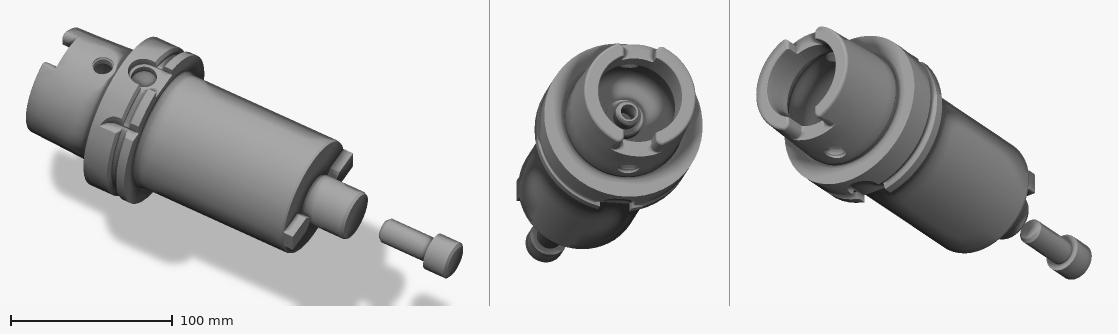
import cadquery as cq
import math


cone_length = 50.0
cone_end_x = -2.5
cone_large_diameter = 75.2
cone_taper = 0.1
cone_rim_fillet = 1.7
undercut_depth = 0.5
undercut_ramp = 1.0
relief_diameter = 79.2
relief_depth = 1.0
bore_diameter = 53.0
bore_mouth_diameter = 53.8
bore_lip_length = 21.2
cavity_diameter = 63.0
cavity_flank_angle = 30
cavity_floor_x = 1.1
cavity_floor_fillet = 6.5
clamp_hole_diameter = 12.0
clamp_hole_mouth_diameter = 13.5
clamp_hole_mouth_radius = 35.8
clamp_hole_x = -14.5

slot_width = 20.0
slot_corner_fillet = 1.1
slot_lip_radius = 4.0
upper_slot_depth = 9.7
lower_slot_depth = 14.5

nut_diameter = 24.0
nut_height = 5.7
nut_chamfer = 1.0
tube_diameter = 15.2
tube_tip_diameter = 12.0
tube_tip_length = 2.5
tube_tip_x = -15.5
tube_bore_diameter = 10.0

flange_diameter = 100.0
flange_width = 29.0
groove_diameter = 91.8
groove_x = 20.0
groove_mouth_width = 7.0
groove_floor_width = 4.0
groove_wall_depth = 2.5

pocket_width = 20.0
pocket_x = 14.5
pocket_floor = 44.0
data_hole_diameter = 16.0
data_hole_depth = 4.5
notch_corner = 31.7

body_diameter = 76.0
body_root_diameter = 78.5
body_root_length = 3.1
body_end_x = 135.3
body_end_chamfer = 1.5
body_face_diameter = 75.2
spigot_diameter = 31.7
spigot_end_x = 165.3
spigot_chamfer = 2.0
spigot_end_diameter = 30.0
spigot_neck_diameter = 30.3
spigot_neck_length = 1.1
spigot_neck_ramp = 1.0

dog_width = 13.2
dog_end_x = 141.9
dog_outer = 37.5
dog_inner = 16.3
dog_chamfer = 4.3

screw_diameter = 16.0
screw_tip_diameter = 12.0
screw_tip_length = 2.3
screw_tip_x = 185.0
shank_length = 35.0
head_diameter = 24.0
head_length = 16.0
head_end_diameter = 19.7
head_chamfer_length = 1.5


def revolve(points):
    return cq.Workplane("XY").polyline(points).close().revolve(360, (0, 0, 0), (1, 0, 0))


def cone_radius(x):
    return (cone_large_diameter + cone_taper * (x - cone_end_x)) / 2


def make_blank():
    half_mouth = groove_mouth_width / 2
    half_floor = groove_floor_width / 2
    undercut_radius = cone_large_diameter / 2 - undercut_depth
    neck_end_x = body_end_x + spigot_neck_length
    groove_wall_radius = flange_diameter / 2 - groove_wall_depth
    return revolve([
        (-cone_length, 0),
        (-cone_length, cone_radius(-cone_length)),
        (cone_end_x, cone_radius(cone_end_x)),
        (cone_end_x + undercut_ramp, undercut_radius),
        (relief_depth, undercut_radius),
        (0, relief_diameter / 2),
        (0, flange_diameter / 2),
        (groove_x - half_mouth, flange_diameter / 2),
        (groove_x - half_floor, groove_wall_radius),
        (groove_x - half_floor, groove_diameter / 2),
        (groove_x + half_floor, groove_diameter / 2),
        (groove_x + half_floor, groove_wall_radius),
        (groove_x + half_mouth, flange_diameter / 2),
        (flange_width, flange_diameter / 2),
        (flange_width, body_root_diameter / 2),
        (flange_width + body_root_length, body_diameter / 2),
        (body_end_x - body_end_chamfer, body_diameter / 2),
        (body_end_x, body_face_diameter / 2),
        (body_end_x, spigot_neck_diameter / 2),
        (neck_end_x, spigot_neck_diameter / 2),
        (neck_end_x + spigot_neck_ramp, spigot_diameter / 2),
        (spigot_end_x - spigot_chamfer, spigot_diameter / 2),
        (spigot_end_x, spigot_end_diameter / 2),
        (spigot_end_x, 0),
    ])


def make_bore():
    mouth_chamfer = (bore_mouth_diameter - bore_diameter) / 2
    lip_end_x = bore_lip_length - cone_length
    flank_height = (cavity_diameter - bore_diameter) / 2
    flank_length = flank_height / math.tan(math.radians(cavity_flank_angle))
    bore = revolve([
        (-cone_length, 0),
        (-cone_length, bore_mouth_diameter / 2),
        (-cone_length + mouth_chamfer, bore_diameter / 2),
        (lip_end_x, bore_diameter / 2),
        (lip_end_x + flank_length, cavity_diameter / 2),
        (cavity_floor_x, cavity_diameter / 2),
        (cavity_floor_x, 0),
    ])
    return bore.faces(">X").edges().fillet(cavity_floor_fillet)


def make_clamp_hole():
    mouth_step = (clamp_hole_mouth_diameter - clamp_hole_diameter) / 2
    hole_radius = clamp_hole_diameter / 2
    mouth_radius = clamp_hole_mouth_diameter / 2
    top = flange_diameter / 2
    return (
        cq.Workplane("XZ")
        .polyline([
            (0, 0),
            (hole_radius, 0),
            (hole_radius, clamp_hole_mouth_radius - mouth_step),
            (mouth_radius, clamp_hole_mouth_radius),
            (mouth_radius, top),
            (0, top),
        ])
        .close()
        .revolve(360, (0, 0, 0), (0, 1, 0))
        .translate((clamp_hole_x, 0, 0))
    )


def make_coolant_nut():
    nut_x = cavity_floor_x - nut_height
    return revolve([
        (tube_tip_x, tube_bore_diameter / 2),
        (tube_tip_x, tube_tip_diameter / 2),
        (tube_tip_x + tube_tip_length, tube_diameter / 2),
        (nut_x, tube_diameter / 2),
        (nut_x, nut_diameter / 2 - nut_chamfer),
        (nut_x + nut_chamfer, nut_diameter / 2),
        (cavity_floor_x, nut_diameter / 2),
        (cavity_floor_x, tube_bore_diameter / 2),
    ])


def make_drive_slot(depth):
    half = slot_width / 2
    surface_radius = cone_radius(-cone_length + depth / 2)
    lip_y = half + slot_lip_radius
    lip_z = math.sqrt((surface_radius - slot_lip_radius) ** 2 - lip_y ** 2)
    lip_angle = math.atan2(lip_z, lip_y)
    middle_angle = (lip_angle + math.pi) / 2

    def lip_point(angle):
        return (lip_y + slot_lip_radius * math.cos(angle), lip_z + slot_lip_radius * math.sin(angle))

    def mirrored(point):
        return (-point[0], point[1])

    top_z = cone_large_diameter / 2
    lip_end = lip_point(lip_angle)
    lip_middle = lip_point(middle_angle)
    slot = (
        cq.Workplane("YZ", origin=(-cone_length, 0, 0))
        .moveTo(-half, 0)
        .lineTo(half, 0)
        .lineTo(half, lip_z)
        .threePointArc(lip_middle, lip_end)
        .lineTo(lip_end[0], top_z)
        .lineTo(-lip_end[0], top_z)
        .lineTo(*mirrored(lip_end))
        .threePointArc(mirrored(lip_middle), (-half, lip_z))
        .close()
        .extrude(depth)
        .faces(">X").edges().fillet(slot_corner_fillet)
    )
    block_size = 2 * flange_diameter
    block = (
        cq.Workplane("YZ", origin=(-cone_length, 0, 0))
        .rect(block_size, block_size)
        .extrude(-cone_rim_fillet)
    )
    cutter = block.union(slot)
    block_back = cutter.faces(cq.selectors.NearestToPointSelector((-cone_length, 0, -flange_diameter / 2)))
    mouth_edges = block_back.val().innerWires()[0].Edges()
    return cutter.newObject(mouth_edges).fillet(cone_rim_fillet)


def make_pocket(floor, y_offset=0):
    half = pocket_width / 2
    return (
        cq.Workplane("XY", origin=(0, y_offset, floor))
        .moveTo(flange_width, -half)
        .lineTo(pocket_x, -half)
        .threePointArc((pocket_x - half, 0), (pocket_x, half))
        .lineTo(flange_width, half)
        .close()
        .extrude(flange_diameter / 2)
    )


def make_dog():
    half = dog_width / 2
    return (
        cq.Workplane("YZ", origin=(body_end_x, 0, 0))
        .polyline([
            (dog_outer, -half),
            (dog_outer, half),
            (dog_inner + dog_chamfer, half),
            (dog_inner, half - dog_chamfer),
            (dog_inner, dog_chamfer - half),
            (dog_inner + dog_chamfer, -half),
        ])
        .close()
        .extrude(dog_end_x - body_end_x)
    )


def make_arbor():
    arbor = make_blank()
    arbor = arbor.faces("<X").edges().fillet(cone_rim_fillet)
    arbor = arbor.cut(make_drive_slot(upper_slot_depth))
    arbor = arbor.cut(make_drive_slot(lower_slot_depth).mirror("XY"))
    arbor = arbor.cut(make_bore())
    clamp_hole = make_clamp_hole()
    arbor = arbor.cut(clamp_hole)
    arbor = arbor.cut(clamp_hole.mirror("XY"))
    arbor = arbor.union(make_coolant_nut())
    pocket = make_pocket(pocket_floor)
    arbor = arbor.cut(pocket)
    arbor = arbor.cut(pocket.mirror("XY"))
    arbor = arbor.cut(make_pocket(notch_corner, -notch_corner - pocket_width / 2))
    data_hole = (
        cq.Workplane("XY", origin=(pocket_x, 0, pocket_floor - data_hole_depth))
        .circle(data_hole_diameter / 2)
        .extrude(data_hole_depth)
    )
    arbor = arbor.cut(data_hole)
    dog = make_dog()
    arbor = arbor.union(dog)
    arbor = arbor.union(dog.mirror("XZ"))
    return arbor


def make_screw():
    head_x = screw_tip_x + shank_length
    end_x = head_x + head_length
    return revolve([
        (screw_tip_x, 0),
        (screw_tip_x, screw_tip_diameter / 2),
        (screw_tip_x + screw_tip_length, screw_diameter / 2),
        (head_x, screw_diameter / 2),
        (head_x, head_diameter / 2),
        (end_x - head_chamfer_length, head_diameter / 2),
        (end_x, head_end_diameter / 2),
        (end_x, 0),
    ])


arbor = make_arbor()
screw = make_screw()
result = cq.Compound.makeCompound([arbor.val(), screw.val()])